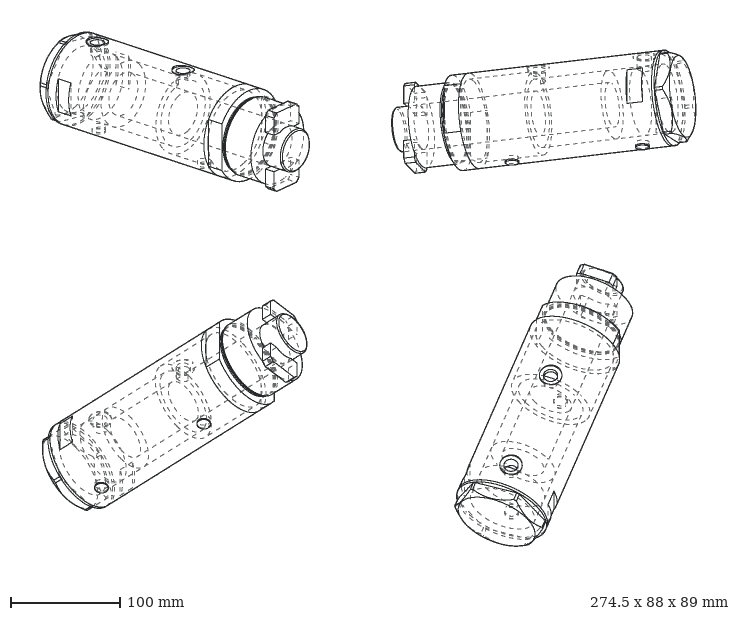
import cadquery as cq
import math

outer_diameter = 88.0
outer_radius = outer_diameter / 2
bore_radius = 31.5
rod_radius = 20.5
total_length = 274.5

hex_sides = 6
hex_across_flats = 76.0
hex_corner_radius = 43.0
hex_corner_angle = 52.0
hex_face_radius = 37.5
hex_chamfer_length = 5.0
flange_start = 12.5
tube_start = 15.0
cap_spigot_end = 40.5

tube_end = 201.5
pocket_start = 24.7
pocket_end = 39.8
pocket_across_flats = 81.8

port_positions = [37.0, 139.5]
port_diameter = 13.0
spotface_diameter = 20.5
spotface_height = 42.5

plug_positions = [38.7, 164.7]
plug_radius = 6.3
plug_projection = 1.0
plug_depth = 3.8

sleeve_radius = 38.5
sleeve_start = port_positions[1]
gland_flange_end = 217.7
gland_across_flats = 75.0
neck_radius = 36.2
neck_end = 219.0
relief_radius = 36.0
collar_radius = 37.5
collar_start = 220.5
collar_chamfer = 1.0
collar_end = 252.2

piston_length = 27.5
rod_end_chamfer = 1.5
lug_gap = 0.8
lug_end = 263.2
lug_width = 35.7
lug_inner_height = 18.0
lug_outer_height = 39.0
lug_chamfer = 3.8


def cylinder(radius, start, end):
    """Solid cylinder on the X axis between two X positions."""
    plane = cq.Plane(origin=(start, 0, 0), xDir=(0, 0, 1), normal=(1, 0, 0))
    return cq.Workplane(plane).circle(radius).extrude(end - start)


def flat_bar(start, end, across_flats):
    """Bar with two flats facing -Y and +Y, taller than any body."""
    height = 2 * outer_diameter
    middle = (start + end) / 2
    return cq.Workplane("XY").box(end - start, across_flats, height).translate((middle, 0, 0))


def cut_flats(body, start, end, across_flats):
    """Mill a pair of parallel flats into the body between two X positions."""
    blank = cylinder(outer_diameter, start, end)
    return body.cut(blank.cut(flat_bar(start, end, across_flats)))


def vertical_cylinder(x, radius, bottom, top):
    """Solid cylinder parallel to Z."""
    return cq.Workplane("XY", origin=(x, 0, bottom)).circle(radius).extrude(top - bottom)


def plug(x):
    """Round plug pressed into the underside of the tube."""
    return vertical_cylinder(x, plug_radius, -outer_radius - plug_projection, -outer_radius + plug_depth)


def make_cap():
    """Hexagon head, flange and a spigot that closes the bore."""
    hexagon = (
        cq.Workplane("YZ")
        .polygon(hex_sides, hex_across_flats / math.cos(math.pi / hex_sides))
        .extrude(flange_start)
        .rotate((0, 0, 0), (1, 0, 0), hex_corner_angle)
    )
    trimming_cone = (
        cq.Workplane("XY")
        .moveTo(0, 0)
        .lineTo(0, hex_face_radius)
        .lineTo(hex_chamfer_length, hex_corner_radius)
        .lineTo(flange_start, hex_corner_radius)
        .lineTo(flange_start, 0)
        .close()
        .revolve(360, (0, 0, 0), (1, 0, 0))
    )
    head = hexagon.intersect(trimming_cone)
    flange = cylinder(outer_radius, flange_start, tube_start)
    spigot = cylinder(bore_radius, tube_start, cap_spigot_end)
    return head.union(flange).union(spigot)


def make_tube():
    """Tube with a stepped bore, wrench pockets, two ports and blind holes for the plugs."""
    tube = cylinder(outer_radius, tube_start, tube_end)
    tube = tube.cut(cylinder(bore_radius, tube_start, tube_end))
    tube = tube.cut(cylinder(sleeve_radius, sleeve_start, tube_end))
    tube = cut_flats(tube, pocket_start, pocket_end, pocket_across_flats)
    for x in port_positions:
        tube = tube.cut(vertical_cylinder(x, spotface_diameter / 2, spotface_height, outer_radius))
        tube = tube.cut(vertical_cylinder(x, port_diameter / 2, 0, outer_radius))
    for x in plug_positions:
        tube = tube.cut(plug(x))
    return tube


def make_gland():
    """Sleeve inside the tube, flange with flats, neck, relief and collar, bored for the rod."""
    sleeve = cylinder(sleeve_radius, sleeve_start, tube_end)
    flange = cylinder(outer_radius, tube_end, gland_flange_end)
    flange = cut_flats(flange, tube_end, gland_flange_end, gland_across_flats)
    neck = cylinder(neck_radius, gland_flange_end, neck_end)
    relief = cylinder(relief_radius, neck_end, collar_start)
    collar = cylinder(collar_radius, collar_start, collar_end).faces("<X").chamfer(collar_chamfer)
    gland = sleeve.union(flange).union(neck).union(relief).union(collar)
    return gland.cut(cylinder(rod_radius, sleeve_start, collar_end))


def make_lug(side):
    """Lug above (side = 1) or below (side = -1) the rod, with bevelled outer corners."""
    start = collar_end + lug_gap
    height = lug_outer_height - lug_inner_height
    center = ((start + lug_end) / 2, 0, side * (lug_outer_height + lug_inner_height) / 2)
    lug = cq.Workplane("XY").box(lug_end - start, lug_width, height)
    outer_face = ">Z" if side > 0 else "<Z"
    return lug.faces(outer_face).edges("|X").chamfer(lug_chamfer).translate(center)


def make_piston_rod():
    """Piston, rod with a chamfered end, and the two lugs beyond the collar."""
    piston = cylinder(bore_radius, cap_spigot_end, cap_spigot_end + piston_length)
    rod = cylinder(rod_radius, cap_spigot_end, total_length).faces(">X").chamfer(rod_end_chamfer)
    return piston.union(rod).union(make_lug(1)).union(make_lug(-1))


cap = make_cap()
tube = make_tube()
gland = make_gland()
piston_rod = make_piston_rod()
plugs = [plug(x) for x in plug_positions]

result = cq.Compound.makeCompound(
    [cap.val(), tube.val(), gland.val(), piston_rod.val(), *[body.val() for body in plugs]]
)